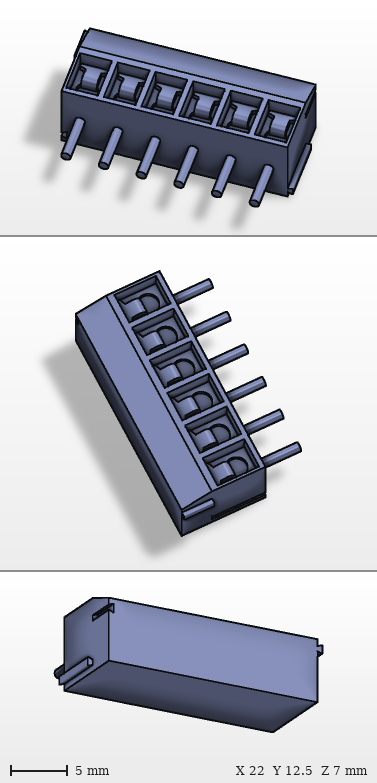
import cadquery as cq
import math


POLES = 6
PITCH = 3.5
LENGTH = POLES * PITCH
DEPTH = 8.3
HEIGHT = 7.0
SLOPE_RUN = 3.0
SLOPE_DROP = 1.0
SLOPE_START_Y = DEPTH - SLOPE_RUN

PIN_DIAMETER = 0.9
PIN_LENGTH = 4.2
PIN_Z = 3.4

POCKET_WIDTH = 2.95
POCKET_DEPTH = 1.75
POCKET_FRONT_Y = 0.5
POCKET_BACK_Y = 4.6
FLOOR_Z = HEIGHT - POCKET_DEPTH

WELL_DIAMETER = 2.0
WELL_DEPTH = 0.4
WELL_Y = 2.0
WELL_FLOOR_Z = FLOOR_Z - WELL_DEPTH

TONGUE_WIDE = 2.75
TONGUE_NARROW = 1.45
SHOULDER_START = 0.42
SHOULDER_END = 0.68
HEEL_RUN = 0.28
RAMP_RUN = 1.06
HEEL_HEIGHT = 0.32
HEEL_ANGLE = math.radians(28)
RAMP_ANGLE = math.radians(10)
BEND_RADIUS = 0.72

DOVETAIL_HEIGHT = 0.5
DOVETAIL_ROOT = 0.5
DOVETAIL_TIP = 0.85
RAIL_TIP_RADIUS = 0.05
UPPER_JOINT_Z = 5.1
LOWER_JOINT_Z = 0.9


def make_housing():
    """Block with a slope along its rear top edge."""
    profile = [
        (0, 0),
        (DEPTH, 0),
        (DEPTH, HEIGHT - SLOPE_DROP),
        (SLOPE_START_Y, HEIGHT),
        (0, HEIGHT),
    ]
    return cq.Workplane("YZ").polyline(profile).close().extrude(LENGTH / 2, both=True)


def make_dovetail(face_x, z, y_start, y_end):
    """Dovetail bar along Y, standing out toward +X from the plane X = face_x."""
    tip_x = face_x + DOVETAIL_HEIGHT
    profile = [
        (face_x, z - DOVETAIL_ROOT / 2),
        (tip_x, z - DOVETAIL_TIP / 2),
        (tip_x, z + DOVETAIL_TIP / 2),
        (face_x, z + DOVETAIL_ROOT / 2),
    ]
    plane = cq.Workplane("XZ", origin=(0, y_end, 0))
    return plane.polyline(profile).close().extrude(y_end - y_start)


def add_joint(body, z, y_start, y_end, rail_side):
    """Rail on the end given by rail_side (+1 right, -1 left) and its matching groove in the other end."""
    dovetail = make_dovetail(LENGTH / 2, z, y_start, y_end)
    rail = dovetail.faces(">X").edges("|Y").fillet(RAIL_TIP_RADIUS)
    if rail_side < 0:
        dovetail = dovetail.mirror("YZ")
        rail = rail.mirror("YZ")
    groove = dovetail.translate((-rail_side * LENGTH, 0, 0))
    return body.union(rail).cut(groove)


def make_tongue():
    """Contact tongue centred on X = 0: side profile trimmed to a T-shaped plan."""
    heel_y = POCKET_BACK_Y - HEEL_RUN
    heel_z = FLOOR_Z + HEEL_HEIGHT + HEEL_RUN * math.tan(HEEL_ANGLE)
    ramp_y = heel_y - RAMP_RUN
    ramp_z = heel_z + RAMP_RUN * math.tan(RAMP_ANGLE)

    center_y = ramp_y - BEND_RADIUS * math.sin(RAMP_ANGLE)
    center_z = ramp_z - BEND_RADIUS * math.cos(RAMP_ANGLE)
    front_y = center_y - BEND_RADIUS
    end_y = center_y - math.sqrt(BEND_RADIUS**2 - (center_z - WELL_FLOOR_Z) ** 2)
    side = (
        cq.Workplane("YZ")
        .moveTo(POCKET_BACK_Y, WELL_FLOOR_Z)
        .lineTo(POCKET_BACK_Y, FLOOR_Z + HEEL_HEIGHT)
        .lineTo(heel_y, heel_z)
        .lineTo(ramp_y, ramp_z)
        .threePointArc((front_y, center_z), (end_y, WELL_FLOOR_Z))
        .close()
        .extrude(TONGUE_WIDE / 2, both=True)
    )

    right_half = [
        (TONGUE_WIDE / 2, POCKET_BACK_Y),
        (TONGUE_WIDE / 2, POCKET_BACK_Y - SHOULDER_START),
        (TONGUE_NARROW / 2, POCKET_BACK_Y - SHOULDER_END),
        (TONGUE_NARROW / 2, front_y),
    ]
    left_half = [(-x, y) for x, y in reversed(right_half)]
    plan = cq.Workplane("XY").polyline(right_half + left_half).close().extrude(HEIGHT)
    return side.intersect(plan)


def add_pole(body, tongue, x):
    """Pocket, well, contact tongue and solder pin of the pole at x."""
    pocket = cq.Workplane("XY").box(
        POCKET_WIDTH, POCKET_BACK_Y - POCKET_FRONT_Y, POCKET_DEPTH, centered=(True, False, False)
    ).translate((x, POCKET_FRONT_Y, FLOOR_Z))
    well = (
        cq.Workplane("XY", origin=(x, WELL_Y, WELL_FLOOR_Z))
        .circle(WELL_DIAMETER / 2)
        .extrude(WELL_DEPTH)
    )
    pin = cq.Workplane("XZ", origin=(x, 0, PIN_Z)).circle(PIN_DIAMETER / 2).extrude(PIN_LENGTH)
    return body.cut(pocket).cut(well).union(tongue.translate((x, 0, 0))).union(pin)


result = make_housing()
result = add_joint(result, UPPER_JOINT_Z, SLOPE_START_Y, DEPTH, rail_side=-1)
result = add_joint(result, LOWER_JOINT_Z, 0, SLOPE_START_Y, rail_side=1)
contact_tongue = make_tongue()
for pole in range(POLES):
    result = add_pole(result, contact_tongue, (pole - (POLES - 1) / 2) * PITCH)